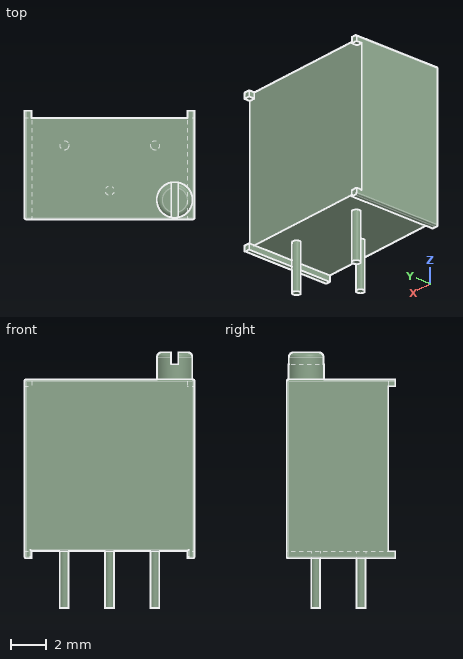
import cadquery as cq

body_width = 9.53
body_depth = 6.10
body_height = 10.03
edge_radius = 0.10

standoff = 0.40
rail_width = 0.40

screw_diameter = 2.0
screw_height = 1.53
screw_fillet = 0.30
slot_width = 0.40
slot_depth = 0.67
screw_side_inset = 1.115
screw_front_inset = 1.10
screw_x = body_width / 2 - screw_side_inset
screw_y = screw_front_inset

pin_diameter = 0.51
pin_pitch = 2.54
pin_length_below_feet = 2.79
front_pin_y = 1.63
rear_pin_y = front_pin_y + pin_pitch
pin_positions = [
    (-pin_pitch, rear_pin_y),
    (0, front_pin_y),
    (pin_pitch, rear_pin_y),
]


def box_at(width, depth, height, y, z):
    """Box centred on X, starting at the given Y and Z."""
    return cq.Workplane("XY", origin=(0, y, z)).box(
        width, depth, height, centered=(True, False, False)
    )


def make_housing():
    block = box_at(body_width, body_depth, body_height, 0, 0)
    space_between_rails = body_width - 2 * rail_width

    bottom_channel = box_at(space_between_rails, body_depth, standoff, 0, 0)
    block = block.cut(bottom_channel)

    block = block.edges("<Y or (|Y and (<X or >X))").fillet(edge_radius)

    rear_y = body_depth - standoff
    between_sides = box_at(space_between_rails, standoff, body_height, rear_y, 0)
    lug_gap = body_height - 2 * standoff
    between_ends = box_at(body_width, standoff, lug_gap, rear_y, standoff)
    return block.cut(between_sides).cut(between_ends)


def make_screw():
    base = cq.Workplane("XY", origin=(screw_x, screw_y, body_height))
    screw = base.circle(screw_diameter / 2).extrude(screw_height)
    screw = screw.faces(">Z").edges().fillet(screw_fillet)
    slot = base.workplane(offset=screw_height - slot_depth).rect(slot_width, screw_diameter)
    return screw.cut(slot.extrude(slot_depth))


def make_pins():
    length = pin_length_below_feet + standoff
    pins = cq.Workplane("XY", origin=(0, 0, standoff)).pushPoints(pin_positions)
    return pins.circle(pin_diameter / 2).extrude(-length)


result = make_housing().union(make_screw()).union(make_pins())